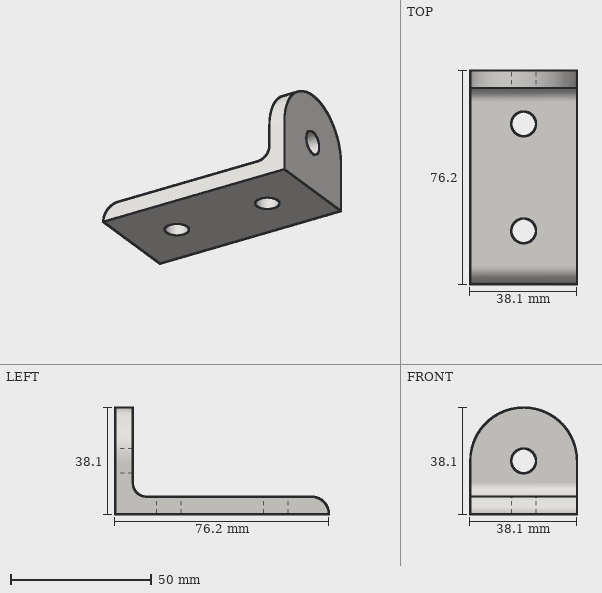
import cadquery as cq

WIDTH = 38.1
LENGTH = 76.2
THICKNESS = 6.35
INNER_FILLET = 4.7625
HOLE_DIAMETER = 8.73

END_RADIUS = WIDTH / 2
HEIGHT = WIDTH
UPRIGHT_HOLE_HEIGHT = HEIGHT - END_RADIUS
NOSE_RADIUS = THICKNESS
BASE_HOLE_OFFSETS = (LENGTH / 4, 3 * LENGTH / 4)


def make_legs():
    """L-shaped side profile extruded across the width, centred on X = 0."""
    upright_face = LENGTH - THICKNESS
    return (
        cq.Workplane("YZ")
        .moveTo(0, 0)
        .lineTo(LENGTH, 0)
        .lineTo(LENGTH, HEIGHT)
        .lineTo(upright_face, HEIGHT)
        .lineTo(upright_face, THICKNESS + INNER_FILLET)
        .radiusArc((upright_face - INNER_FILLET, THICKNESS), INNER_FILLET)
        .lineTo(NOSE_RADIUS, THICKNESS)
        .radiusArc((0, 0), -NOSE_RADIUS)
        .close()
        .extrude(WIDTH / 2, both=True)
    )


def make_front_outline():
    """Solid with the half-round front outline, running the full length."""
    shoulder = HEIGHT - END_RADIUS
    return (
        cq.Workplane("XZ")
        .moveTo(-WIDTH / 2, 0)
        .lineTo(WIDTH / 2, 0)
        .lineTo(WIDTH / 2, shoulder)
        .threePointArc((0, HEIGHT), (-WIDTH / 2, shoulder))
        .close()
        .extrude(-LENGTH)
    )


def make_base_holes():
    """Vertical through-hole cutters for the base."""
    return (
        cq.Workplane("XY")
        .pushPoints([(0, y) for y in BASE_HOLE_OFFSETS])
        .circle(HOLE_DIAMETER / 2)
        .extrude(THICKNESS)
    )


def make_upright_hole():
    """Horizontal through-hole cutter for the upright."""
    return (
        cq.Workplane("XZ", origin=(0, LENGTH, 0))
        .center(0, UPRIGHT_HOLE_HEIGHT)
        .circle(HOLE_DIAMETER / 2)
        .extrude(THICKNESS)
    )


bracket = make_legs().intersect(make_front_outline())
result = bracket.cut(make_base_holes()).cut(make_upright_hole())